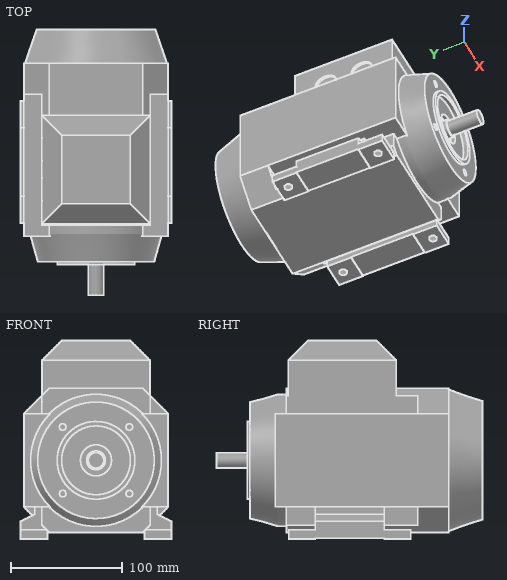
import cadquery as cq

AXIS_Z = 71.0

HALF_SIZE = 65.0
FLAT_HALF = 42.0
CORE_HALF_WIDTH = 48.75
SIDE_FRONT_Y = 23.0
CORE_FRONT_Y = 33.0
CUTOUT_REAR_Y = 151.0
HOUSING_REAR_Y = 179.0

FLANGE_RADIUS = 52.5
FRONT_BELL_RADIUS = 59.5
FRONT_CONE_LENGTH = 25.0
REAR_BELL_RADIUS = 64.0
REAR_END_RADIUS = 53.5
REAR_BELL_LENGTH = 30.5

PILOT_RADIUS = 35.0
PILOT_HEIGHT = 2.5
RECESS_RADIUS = 31.0
RECESS_DEPTH = 4.5
BORE_RADIUS = 14.0
BORE_DEPTH = 4.5
SHAFT_RADIUS = 7.0
SHAFT_LENGTH = 30.0
SHOULDER_RADIUS = 8.5
SHOULDER_Y = 0.0
BOLT_OFFSET = 30.0
BOLT_HOLE_DIAMETER = 6.0
BOLT_HOLE_DEPTH = 10.0

BOX_CENTER_Y = 83.25
BOX_WALL_TOP_Z = 161.0
BOX_TOP_Z = 179.0
LID_BEVEL_ANGLE = 45.0
ENTRY_DIAMETER = 20.75
ENTRY_DEPTH = 2.0
ENTRY_SPACING = 36.0
ENTRY_Z = 134.25

FOOT_OUTER_X = 68.0
FOOT_INNER_X = 43.5
FOOT_CENTER_Y = 90.0
FOOT_LENGTH = 110.0
FOOT_THICKNESS = 8.7
RIB_LENGTH = 62.0
RIB_OUTER_Z = 16.0
RIB_INNER_X = 55.25
RIB_INNER_Z = 22.5
GROUND_RELIEF = 0.75
FOOT_HOLE_DIAMETER = 7.0
FOOT_HOLE_X = 56.0
FOOT_HOLE_SPACING = 90.0


def block(x_range, y_range, z_range):
    """Box between the given limits on each axis."""
    limits = (x_range, y_range, z_range)
    size = [high - low for low, high in limits]
    corner = tuple(low for low, high in limits)
    return cq.Workplane("XY").box(*size, centered=False).translate(corner)


def shaft_plane(y):
    """Plane across the shaft axis whose normal points to the rear."""
    return cq.Workplane(cq.Plane(origin=(0, y, AXIS_Z), xDir=(1, 0, 0), normal=(0, 1, 0)))


def disc(radius, y_front, y_rear):
    """Cylinder on the shaft axis."""
    return shaft_plane(y_front).circle(radius).extrude(y_rear - y_front)


def cone(front_radius, rear_radius, y_front, y_rear):
    """Truncated cone on the shaft axis."""
    section = [(0, y_front), (front_radius, y_front), (rear_radius, y_rear), (0, y_rear)]
    turned = cq.Workplane("XY").polyline(section).close().revolve(360, (0, 0, 0), (0, 1, 0))
    return turned.translate((0, 0, AXIS_Z))


def octagon(y_front, y_rear):
    """Octagonal prism with the full housing section."""
    corners = [(FLAT_HALF, HALF_SIZE), (HALF_SIZE, FLAT_HALF)]
    right = corners + [(x, -z) for x, z in reversed(corners)]
    outline = right + [(-x, z) for x, z in reversed(right)]
    return shaft_plane(y_front).polyline(outline).close().extrude(y_rear - y_front)


def housing():
    side_z = (AXIS_Z - FLAT_HALF, AXIS_Z + FLAT_HALF)
    core_x = (-CORE_HALF_WIDTH, CORE_HALF_WIDTH)
    core_z = (AXIS_Z - HALF_SIZE, AXIS_Z + HALF_SIZE)
    core_limits = block(core_x, (CORE_FRONT_Y, CUTOUT_REAR_Y), core_z)
    core = octagon(CORE_FRONT_Y, CUTOUT_REAR_Y).intersect(core_limits)
    sides = block((-HALF_SIZE, HALF_SIZE), (SIDE_FRONT_Y, CUTOUT_REAR_Y), side_z)
    return octagon(CUTOUT_REAR_Y, HOUSING_REAR_Y).union(core).union(sides)


def front_bell():
    tapered = cone(FLANGE_RADIUS, FRONT_BELL_RADIUS, 0, FRONT_CONE_LENGTH)
    rim = disc(FRONT_BELL_RADIUS, FRONT_CONE_LENGTH, CORE_FRONT_Y)
    return tapered.union(rim)


def rear_bell():
    rear_end_y = HOUSING_REAR_Y + REAR_BELL_LENGTH
    return cone(REAR_BELL_RADIUS, REAR_END_RADIUS, HOUSING_REAR_Y, rear_end_y)


def terminal_box():
    wall_height = BOX_WALL_TOP_Z - AXIS_Z
    bevel = BOX_TOP_Z - BOX_WALL_TOP_Z
    width = 2 * CORE_HALF_WIDTH
    box_plane = cq.Workplane("XY", origin=(0, BOX_CENTER_Y, AXIS_Z))
    walls = box_plane.rect(width, width).extrude(wall_height)
    lid_plane = box_plane.workplane(offset=wall_height)
    lid = lid_plane.rect(width, width).extrude(bevel, taper=LID_BEVEL_ANGLE)
    return walls.union(lid)


def cable_entries():
    """Two shallow round recesses in the -X wall of the terminal box."""
    wall = cq.Workplane("YZ", origin=(-CORE_HALF_WIDTH, BOX_CENTER_Y, ENTRY_Z))
    entries = wall.rarray(ENTRY_SPACING, 1, 2, 1).circle(ENTRY_DIAMETER / 2)
    return entries.extrude(ENTRY_DEPTH)


def foot():
    """Foot on the +X side, with its rib and mounting holes."""
    end_y = (FOOT_CENTER_Y - FOOT_LENGTH / 2, FOOT_CENTER_Y + FOOT_LENGTH / 2)
    rib_y = (FOOT_CENTER_Y - RIB_LENGTH / 2, FOOT_CENTER_Y + RIB_LENGTH / 2)
    plate = block((FOOT_INNER_X, FOOT_OUTER_X), end_y, (0, FOOT_THICKNESS))
    relief = block((FOOT_INNER_X, FOOT_OUTER_X), rib_y, (0, GROUND_RELIEF))
    rib_section = [
        (FOOT_INNER_X, GROUND_RELIEF),
        (FOOT_OUTER_X, GROUND_RELIEF),
        (FOOT_OUTER_X, RIB_OUTER_Z),
        (RIB_INNER_X, RIB_INNER_Z),
        (RIB_INNER_X, AXIS_Z - FLAT_HALF),
        (FOOT_INNER_X, AXIS_Z - FLAT_HALF),
    ]
    rib_plane = cq.Workplane("XZ", origin=(0, rib_y[1], 0))
    rib = rib_plane.polyline(rib_section).close().extrude(RIB_LENGTH)
    holes = cq.Workplane("XY", origin=(FOOT_HOLE_X, FOOT_CENTER_Y, 0))
    holes = holes.rarray(1, FOOT_HOLE_SPACING, 1, 2).circle(FOOT_HOLE_DIAMETER / 2)
    return plate.cut(relief).union(rib).cut(holes.extrude(FOOT_THICKNESS))


def flange_cavity():
    recess_floor_y = RECESS_DEPTH - PILOT_HEIGHT
    recess = disc(RECESS_RADIUS, -PILOT_HEIGHT, recess_floor_y)
    bore = disc(BORE_RADIUS, recess_floor_y, recess_floor_y + BORE_DEPTH)
    return recess.union(bore)


def bolt_holes():
    pattern = shaft_plane(0).rect(2 * BOLT_OFFSET, 2 * BOLT_OFFSET, forConstruction=True).vertices()
    return pattern.circle(BOLT_HOLE_DIAMETER / 2).extrude(BOLT_HOLE_DEPTH)


def shaft():
    journal = disc(SHAFT_RADIUS, -SHAFT_LENGTH, CORE_FRONT_Y)
    shoulder = disc(SHOULDER_RADIUS, SHOULDER_Y, CORE_FRONT_Y)
    return journal.union(shoulder)


result = housing().union(front_bell()).union(rear_bell()).union(terminal_box())
result = result.union(foot()).union(foot().mirror("YZ"))
result = result.union(disc(PILOT_RADIUS, -PILOT_HEIGHT, 0))
result = result.cut(flange_cavity()).cut(bolt_holes()).cut(cable_entries())
result = result.union(shaft())